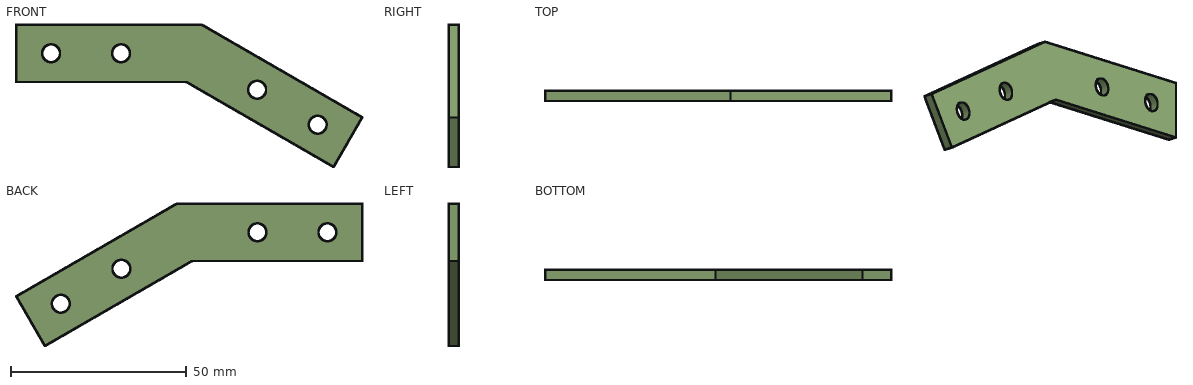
import cadquery as cq
import math

overall_length = 98.9
arm_width = 16.4
thickness = 3.0
bend_angle = 30.0
hole_diameter = 5.0
end_to_hole = 10.0
hole_spacing = 20.0

bend = math.radians(bend_angle)
arm_length = overall_length / (1 + math.cos(bend))
bend_setback = arm_width * math.tan(bend / 2)


def point_on_second_arm(along, across):
    """Point measured from the outer corner, along the bent arm and inward across it."""
    x = arm_length + along * math.cos(bend) - across * math.sin(bend)
    z = -along * math.sin(bend) - across * math.cos(bend)
    return (x, z)


outline = [
    (0, 0),
    (arm_length, 0),
    point_on_second_arm(arm_length, 0),
    point_on_second_arm(arm_length, arm_width),
    (arm_length - bend_setback, -arm_width),
    (0, -arm_width),
]

hole_centres = []
for from_end in (end_to_hole, end_to_hole + hole_spacing):
    hole_centres.append((from_end, -arm_width / 2))
    hole_centres.append(point_on_second_arm(arm_length - from_end, arm_width / 2))

plate = cq.Workplane("XZ").polyline(outline).close().extrude(thickness)
holes = cq.Workplane("XZ").pushPoints(hole_centres).circle(hole_diameter / 2).extrude(thickness)
result = plate.cut(holes)